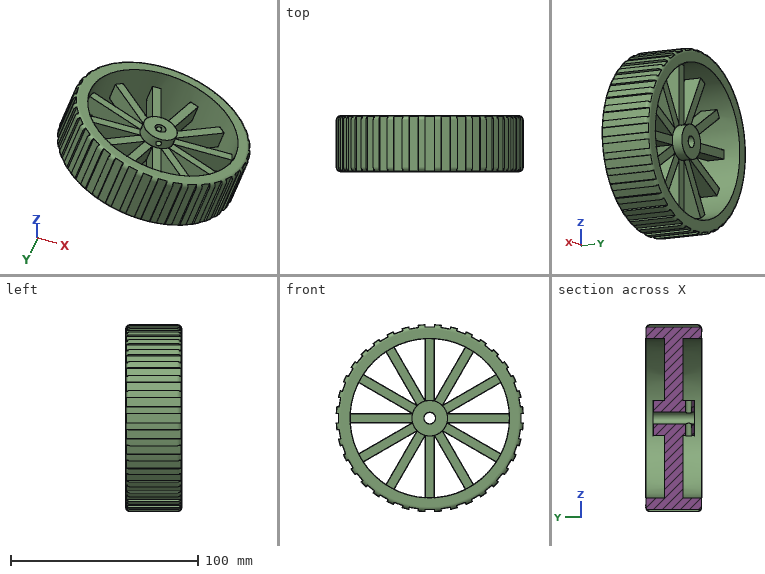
import cadquery as cq

WHEEL_DIAMETER = 100.0
WHEEL_WIDTH = 30.0
RIM_INNER_DIAMETER = 85.0
SHOULDER_RADIUS = 2.5

GROOVE_COUNT = 36
GROOVE_WIDTH = 5.0
GROOVE_DEPTH = 1.2

SPOKE_COUNT = 12
SPOKE_WIDTH = 5.0
SPOKE_THICKNESS = 10.0
SPOKE_RIM_OVERLAP = 1.0

HUB_DIAMETER = 19.0
HUB_LENGTH = 22.0
BORE_DIAMETER = 6.1
SET_SCREW_DIAMETER = 3.0

WHEEL_RADIUS = WHEEL_DIAMETER / 2
FRONT_FACE_Y = -WHEEL_WIDTH / 2
HUB_FRONT_Y = -HUB_LENGTH / 2
SPOKE_FRONT_Y = -SPOKE_THICKNESS / 2
SET_SCREW_Y = (HUB_FRONT_Y + SPOKE_FRONT_Y) / 2


def cylinder_along_y(diameter, start_y, length):
    """Solid cylinder on the axle, running from start_y toward +Y."""
    plane = cq.Workplane("XZ", origin=(0, start_y, 0))
    return plane.circle(diameter / 2).extrude(-length)


def make_rim():
    """Tyre and rim ring with rounded outer shoulders."""
    tyre = cylinder_along_y(WHEEL_DIAMETER, FRONT_FACE_Y, WHEEL_WIDTH)
    tyre = tyre.edges().fillet(SHOULDER_RADIUS)
    return tyre.cut(cylinder_along_y(RIM_INNER_DIAMETER, FRONT_FACE_Y, WHEEL_WIDTH))


def cut_tread(rim):
    """Cut flat-bottomed grooves, evenly spaced around the tyre."""
    groove = cq.Workplane("XY").box(GROOVE_WIDTH, WHEEL_WIDTH, 2 * GROOVE_DEPTH)
    groove = groove.translate((0, 0, WHEEL_RADIUS))
    for index in range(GROOVE_COUNT):
        angle = index * 360 / GROOVE_COUNT
        rim = rim.cut(groove.rotate((0, 0, 0), (0, 1, 0), angle))
    return rim


def make_spokes():
    """Full-diameter bars, each forming two opposite spokes."""
    bar_length = RIM_INNER_DIAMETER + 2 * SPOKE_RIM_OVERLAP
    bar = cq.Workplane("XY").box(SPOKE_WIDTH, SPOKE_THICKNESS, bar_length)
    spokes = bar
    for index in range(1, SPOKE_COUNT // 2):
        angle = index * 360 / SPOKE_COUNT
        spokes = spokes.union(bar.rotate((0, 0, 0), (0, 1, 0), angle))
    return spokes


def cut_hub_holes(wheel):
    """Cut the axle bore and the set-screw hole that crosses it along Z."""
    bore = cylinder_along_y(BORE_DIAMETER, HUB_FRONT_Y, HUB_LENGTH)
    set_screw = (
        cq.Workplane("XY", origin=(0, SET_SCREW_Y, 0))
        .circle(SET_SCREW_DIAMETER / 2)
        .extrude(HUB_DIAMETER / 2, both=True)
    )
    return wheel.cut(bore).cut(set_screw)


hub = cylinder_along_y(HUB_DIAMETER, HUB_FRONT_Y, HUB_LENGTH)
wheel = cut_tread(make_rim()).union(make_spokes()).union(hub)
result = cut_hub_holes(wheel)